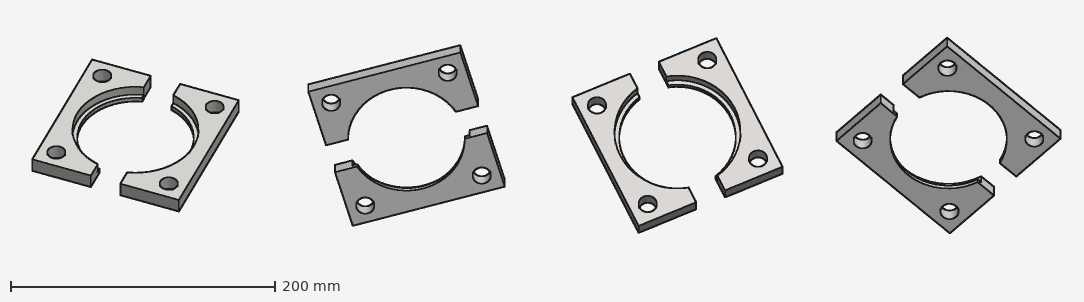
import cadquery as cq

plate_side = 120.0
thickness = 12.0
split_gap = 24.0
half_width = (plate_side - split_gap) / 2

seat_diameter = 95.5
lip_diameter = 88.3
lip_height = 4.0

bolt_diameter = 13.8
bolt_edge_distance = 14.0
bolt_offset = plate_side / 2 - bolt_edge_distance


def half_blank(side):
    """Rectangular blank on the given side of the split (-1 or +1 along X)."""
    center_x = side * (split_gap + half_width) / 2
    return (
        cq.Workplane("XY")
        .center(center_x, 0)
        .rect(half_width, plate_side)
        .extrude(thickness)
    )


def stepped_bore():
    """Cutter for the central opening, leaving the lip at the bottom."""
    through = cq.Workplane("XY").circle(lip_diameter / 2).extrude(thickness)
    seat = (
        cq.Workplane("XY")
        .workplane(offset=lip_height)
        .circle(seat_diameter / 2)
        .extrude(thickness - lip_height)
    )
    return through.union(seat)


def bolt_holes(side):
    """Cutters for the two bolt holes of one half."""
    bolt_x = side * bolt_offset
    return (
        cq.Workplane("XY")
        .pushPoints([(bolt_x, -bolt_offset), (bolt_x, bolt_offset)])
        .circle(bolt_diameter / 2)
        .extrude(thickness)
    )


def clamp_half(side):
    """One complete half of the split flange."""
    return half_blank(side).cut(stepped_bore()).cut(bolt_holes(side))


clamp_halves = [clamp_half(side) for side in (-1, 1)]

result = cq.Compound.makeCompound([half.val() for half in clamp_halves])